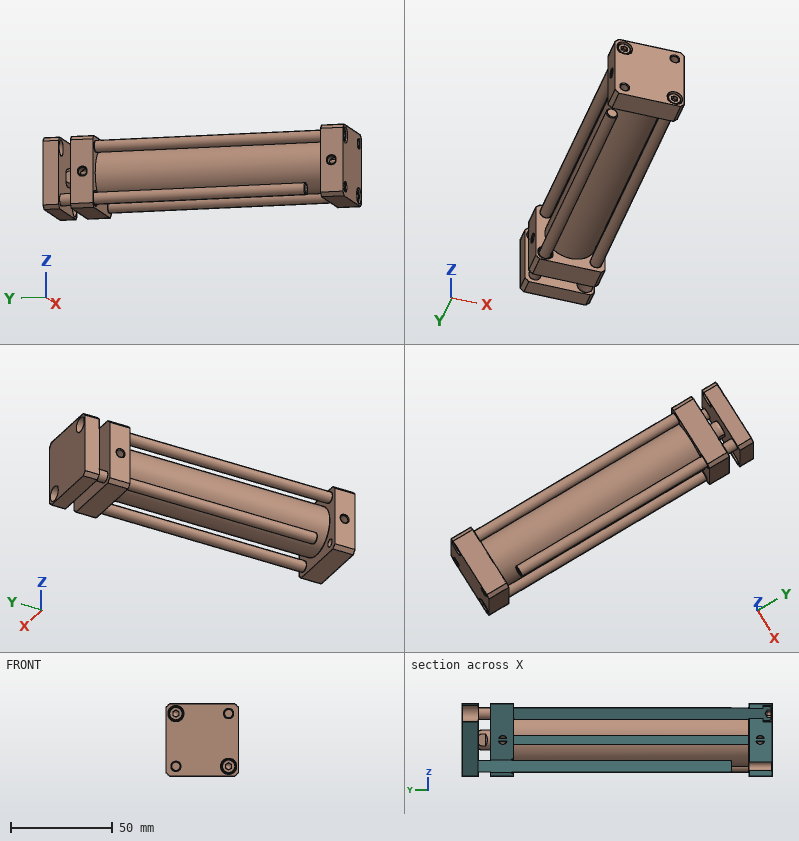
import cadquery as cq
import math

LENGTH = 153.0
PLATE_SIDE = 36.0
CORNER_CHAMFER = 2.0
CAP_THICKNESS = 11.5
HEAD_THICKNESS = 11.5
TOOL_PLATE_THICKNESS = 8.0
TOOL_PLATE_GAP = 6.0

TOOL_PLATE_FRONT = LENGTH - TOOL_PLATE_THICKNESS
HEAD_BACK = TOOL_PLATE_FRONT - TOOL_PLATE_GAP
HEAD_FRONT = HEAD_BACK - HEAD_THICKNESS

DRILL_END_SLOPE = math.tan(math.radians(30))

CORNER_OFFSET = 13.0
ROD_DIAMETER = 6.0
GUIDE_POINTS = [(CORNER_OFFSET, CORNER_OFFSET), (-CORNER_OFFSET, -CORNER_OFFSET)]
SCREW_POINTS = [(-CORNER_OFFSET, CORNER_OFFSET), (CORNER_OFFSET, -CORNER_OFFSET)]
GUIDE_FRONT = 20.0
GUIDE_CHAMFER = 0.5

GUIDE_RECESS_DIAMETER = 7.0
GUIDE_RECESS_DEPTH = 0.9
GUIDE_MOUTH_DIAMETER = 8.0

END_CHAMFER = 0.3

SCREW_HEAD_DIAMETER = 7.0
SCREW_HEAD_HEIGHT = 4.0
SCREW_HEAD_RECESS = 0.6
COUNTERBORE_DIAMETER = 8.0
SCREW_HEAD_CHAMFER = 0.5
SCREW_SHANK_DIAMETER = 4.7
SOCKET_SIDES = 6
SOCKET_FLATS = 3.0
SOCKET_DEPTH = 2.0

MOUNT_DIAMETER = 4.1
MOUNT_MOUTH_DIAMETER = 5.0
ACCESS_DIAMETER = 8.0

PORT_DIAMETER = 4.1
PORT_MOUTH_DIAMETER = 5.0
PORT_DEPTH = 6.0
PORT_BAR_DIAMETER = 2.0
PORT_BAR_SETBACK = 0.3
CAP_PORT_Y = 6.0
HEAD_PORT_Y = 133.0

BARREL_DIAMETER = 26.5
PISTON_ROD_DIAMETER = 10.0
FLATS_WIDTH = 8.0
FLATS_LENGTH = 3.5
ROD_END_CHAMFER_LENGTH = 1.5
ROD_END_CHAMFER_DEPTH = 0.5


def disc(diameter, y_start, y_end, x=0.0, z=0.0):
    """A cylinder along +Y between two Y positions."""
    return cq.Workplane(
        cq.Solid.makeCylinder(diameter / 2, y_end - y_start, cq.Vector(x, y_start, z), cq.Vector(0, 1, 0))
    )


def cone(start_diameter, end_diameter, length, x, y_start, z):
    """A cone or taper along +Y from one diameter to another."""
    start = cq.Vector(x, y_start, z)
    return cq.Workplane(
        cq.Solid.makeCone(start_diameter / 2, end_diameter / 2, length, start, cq.Vector(0, 1, 0))
    )


def square_plate(y_start, y_end):
    """A square plate with its four long corners cut at 45 degrees."""
    thickness = y_end - y_start
    return (
        cq.Workplane("XY")
        .box(PLATE_SIDE, thickness, PLATE_SIDE)
        .edges("|Y")
        .chamfer(CORNER_CHAMFER)
        .translate((0, y_start + thickness / 2, 0))
    )


def air_port(y):
    """The space of a blind port in the -X side, drilled to a cone and crossed by a round bar."""
    mouth_x = -PLATE_SIDE / 2
    mouth_radius = PORT_MOUTH_DIAMETER / 2
    radius = PORT_DIAMETER / 2
    end_x = mouth_x + PORT_DEPTH
    tip_x = end_x + radius * DRILL_END_SLOPE
    space = (
        cq.Workplane("XY", origin=(0, y, 0))
        .moveTo(mouth_x, 0)
        .lineTo(mouth_x, mouth_radius)
        .lineTo(mouth_x + mouth_radius - radius, radius)
        .lineTo(end_x, radius)
        .lineTo(tip_x, 0)
        .close()
        .revolve(360, (0, 0, 0), (1, 0, 0))
    )
    bar = disc(PORT_BAR_DIAMETER, y - PORT_DIAMETER, y + PORT_DIAMETER, x=end_x - PORT_BAR_SETBACK)
    return space.cut(bar)


def build_cap():
    """The end cap with screw counterbores, mounting holes and an air port."""
    cap = square_plate(0, CAP_THICKNESS)
    counterbore_depth = SCREW_HEAD_RECESS + SCREW_HEAD_HEIGHT
    for x, z in SCREW_POINTS:
        cap = cap.cut(disc(COUNTERBORE_DIAMETER, 0, counterbore_depth, x, z))
        cap = cap.cut(disc(SCREW_SHANK_DIAMETER, 0, CAP_THICKNESS, x, z))
    mouth_depth = (MOUNT_MOUTH_DIAMETER - MOUNT_DIAMETER) / 2
    for x, z in GUIDE_POINTS:
        cap = cap.cut(disc(MOUNT_DIAMETER, 0, CAP_THICKNESS, x, z))
        cap = cap.cut(cone(MOUNT_MOUTH_DIAMETER, MOUNT_DIAMETER, mouth_depth, x, 0, z))
    return cap.cut(air_port(CAP_PORT_Y))


def build_head():
    """The rod-side head with the piston rod bore, guide holes and an air port."""
    head = square_plate(HEAD_FRONT, HEAD_BACK)
    mouth_depth = (GUIDE_MOUTH_DIAMETER - GUIDE_RECESS_DIAMETER) / 2
    head = head.cut(disc(PISTON_ROD_DIAMETER, HEAD_FRONT, HEAD_BACK))
    for x, z in GUIDE_POINTS:
        head = head.cut(disc(ROD_DIAMETER, HEAD_FRONT, HEAD_BACK, x, z))
        head = head.cut(disc(GUIDE_RECESS_DIAMETER, HEAD_FRONT, HEAD_FRONT + GUIDE_RECESS_DEPTH, x, z))
        head = head.cut(cone(GUIDE_MOUTH_DIAMETER, GUIDE_RECESS_DIAMETER, mouth_depth, x, HEAD_FRONT, z))
    return head.cut(air_port(HEAD_PORT_Y))


def build_tool_plate():
    """The moving plate on the rod ends, with clear holes in line with the tie screws."""
    plate = square_plate(TOOL_PLATE_FRONT, LENGTH)
    for x, z in SCREW_POINTS:
        plate = plate.cut(disc(ACCESS_DIAMETER, TOOL_PLATE_FRONT, LENGTH, x, z))
    return plate


def build_barrel():
    """The cylinder barrel between the cap and the head."""
    return disc(BARREL_DIAMETER, CAP_THICKNESS, HEAD_FRONT).faces("<Y").chamfer(END_CHAMFER)


def build_piston_rod():
    """The piston rod with a tapered end and a pair of wrench flats that run out at 45 degrees."""
    taper_start = TOOL_PLATE_FRONT - ROD_END_CHAMFER_LENGTH
    end_diameter = PISTON_ROD_DIAMETER - 2 * ROD_END_CHAMFER_DEPTH
    rod = disc(PISTON_ROD_DIAMETER, HEAD_FRONT, taper_start)
    taper = cone(PISTON_ROD_DIAMETER, end_diameter, ROD_END_CHAMFER_LENGTH, 0, taper_start, 0)
    rod = rod.union(taper)
    flat_x = FLATS_WIDTH / 2
    rod_x = PISTON_ROD_DIAMETER / 2
    runout = rod_x - flat_x
    for side in (-1, 1):
        cutter = (
            cq.Workplane("XY", origin=(0, 0, -rod_x))
            .moveTo(side * flat_x, TOOL_PLATE_FRONT)
            .lineTo(side * flat_x, TOOL_PLATE_FRONT - FLATS_LENGTH)
            .lineTo(side * rod_x, TOOL_PLATE_FRONT - FLATS_LENGTH - runout)
            .lineTo(side * rod_x, TOOL_PLATE_FRONT)
            .close()
            .extrude(PISTON_ROD_DIAMETER)
        )
        rod = rod.cut(cutter)
    return rod


def build_guide_rod(x, z):
    """A guide rod that slides through the head and carries the tool plate."""
    rod = disc(ROD_DIAMETER, GUIDE_FRONT, TOOL_PLATE_FRONT, x, z)
    return rod.faces("<Y").chamfer(GUIDE_CHAMFER)


def hex_socket(x, z):
    """The space of a hexagon socket with corners up and down and a drilled cone at its bottom."""
    socket_end = SCREW_HEAD_RECESS + SOCKET_DEPTH
    half_side_angle = 180 / SOCKET_SIDES
    corner_diameter = SOCKET_FLATS / math.cos(math.radians(half_side_angle))
    hexagon = (
        cq.Workplane("XZ", origin=(x, socket_end, z))
        .polygon(SOCKET_SIDES, corner_diameter)
        .extrude(SOCKET_DEPTH)
        .rotate((x, 0, z), (x, 1, z), half_side_angle)
    )
    tip_length = SOCKET_FLATS / 2 * DRILL_END_SLOPE
    return hexagon.union(cone(SOCKET_FLATS, 0, tip_length, x, socket_end, z))


def build_tie_screw(x, z):
    """A tie screw whose rod shoulders against the cap and the head."""
    seat_y = SCREW_HEAD_RECESS + SCREW_HEAD_HEIGHT
    screw = disc(SCREW_HEAD_DIAMETER, SCREW_HEAD_RECESS, seat_y, x, z)
    screw = screw.faces("<Y").chamfer(SCREW_HEAD_CHAMFER)
    screw = screw.union(disc(SCREW_SHANK_DIAMETER, seat_y, CAP_THICKNESS, x, z))
    rod = disc(ROD_DIAMETER, CAP_THICKNESS, HEAD_FRONT, x, z).faces("<Y or >Y").chamfer(END_CHAMFER)
    return screw.union(rod).cut(hex_socket(x, z))


cap = build_cap()
head = build_head()
tool_plate = build_tool_plate()
barrel = build_barrel()
piston_rod = build_piston_rod()
guide_rods = [build_guide_rod(x, z) for x, z in GUIDE_POINTS]
tie_screws = [build_tie_screw(x, z) for x, z in SCREW_POINTS]

result = cq.Compound.makeCompound(
    [
        cap.val(),
        head.val(),
        tool_plate.val(),
        barrel.val(),
        piston_rod.val(),
        *[rod.val() for rod in guide_rods],
        *[screw.val() for screw in tie_screws],
    ]
)